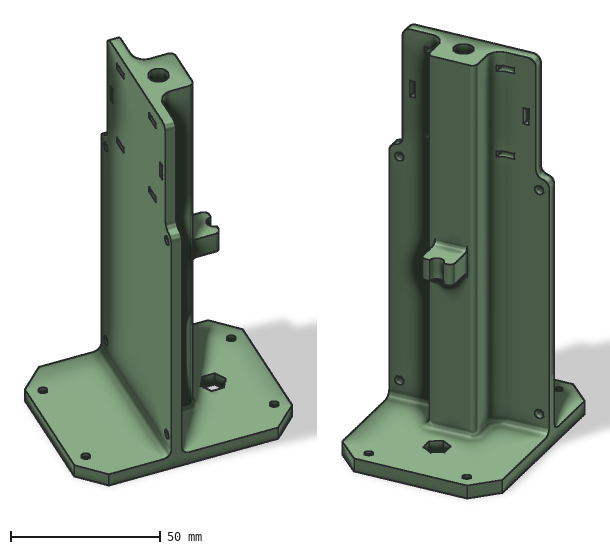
import cadquery as cq
import math

BASE_X = 60.0
BASE_Y = 79.2
BASE_T = 5.0
BASE_CHAMFER = 8.8
BASE_HOLE_D = 3.1
BASE_HOLE_X = 18.4
BASE_HOLE_Y = 34.3

HEIGHT = 147.0
PLATE_FRONT_Y = -8.1
PLATE_T = 3.8
PLATE_BACK_Y = PLATE_FRONT_Y + PLATE_T
UPPER_WIDTH = 50.0
SHOULDER_MID_Z = 101.9
CORNER_R = 3.1
FOOT_FILLET = 3.0

PLATE_HOLE_D = 3.2
PLATE_HOLE_X = 26.2
PLATE_HOLE_LOW_Z = 12.0
PLATE_HOLE_HIGH_Z = 97.5

SLOT_LENGTH = 6.0
SLOT_WIDTH = 2.0
SLOT_CENTRE_Z = 124.4
FLAT_SLOT_X = 13.8
FLAT_SLOT_OFFSET_Z = 16.3
TALL_SLOT_X = 21.3

COLUMN_WIDTH = 18.1
COLUMN_BACK_Y = 9.3
COLUMN_CORNER_R = 2.0
COLUMN_ROOT_R = 5.0
BORE_D = 6.9

TAB_WIDTH = 12.0
TAB_END_Y = 20.1
TAB_T = 8.0
TAB_MID_Z = 71.7
TAB_CORNER_R = 2.0
TAB_FILLET = 1.9
NOTCH_D = 5.0
HEX_ACROSS_FLATS = 8.0
HEX_CENTRE_Y = 19.8


def make_base():
    base = cq.Workplane("XY").box(BASE_X, BASE_Y, BASE_T, centered=(True, True, False))
    return base.edges("|Z").chamfer(BASE_CHAMFER)


def make_plate():
    """Stepped plate; each shoulder is two equal tangent arcs forming an S."""
    half_low = BASE_X / 2
    half_high = UPPER_WIDTH / 2
    step = half_low - half_high
    sweep = math.acos(1 - step / (2 * CORNER_R))
    rise = CORNER_R * math.sin(sweep)
    bulge_x = CORNER_R * (1 - math.cos(sweep / 2))
    bulge_z = rise - CORNER_R * math.sin(sweep / 2)
    mid_x = (half_low + half_high) / 2

    half_outline = (
        cq.Workplane("XZ", origin=(0, PLATE_BACK_Y, 0))
        .lineTo(half_low, 0)
        .lineTo(half_low, SHOULDER_MID_Z - rise)
        .threePointArc((half_low - bulge_x, SHOULDER_MID_Z - bulge_z), (mid_x, SHOULDER_MID_Z))
        .threePointArc((half_high + bulge_x, SHOULDER_MID_Z + bulge_z), (half_high, SHOULDER_MID_Z + rise))
        .lineTo(half_high, HEIGHT - CORNER_R)
        .radiusArc((half_high - CORNER_R, HEIGHT), -CORNER_R)
        .lineTo(0, HEIGHT)
        .close()
    )
    half_plate = half_outline.extrude(PLATE_T)
    return half_plate.union(half_plate.mirror("YZ"))


def make_column():
    """Column whose sides flare into the upright plate at the root."""
    half_width = COLUMN_WIDTH / 2
    root_x = half_width + COLUMN_ROOT_R
    root_y = PLATE_BACK_Y + COLUMN_ROOT_R
    corner_x = half_width - COLUMN_CORNER_R
    corner_y = COLUMN_BACK_Y - COLUMN_CORNER_R
    return (
        cq.Workplane("XY")
        .moveTo(-root_x, PLATE_FRONT_Y)
        .lineTo(root_x, PLATE_FRONT_Y)
        .lineTo(root_x, PLATE_BACK_Y)
        .radiusArc((half_width, root_y), COLUMN_ROOT_R)
        .lineTo(half_width, corner_y)
        .radiusArc((corner_x, COLUMN_BACK_Y), -COLUMN_CORNER_R)
        .lineTo(-corner_x, COLUMN_BACK_Y)
        .radiusArc((-half_width, corner_y), -COLUMN_CORNER_R)
        .lineTo(-half_width, root_y)
        .radiusArc((-root_x, PLATE_BACK_Y), COLUMN_ROOT_R)
        .close()
        .extrude(HEIGHT)
    )


def make_tab():
    """Tab that starts inside the column and is rounded at its free corners."""
    tab = cq.Workplane("XY").box(TAB_WIDTH, TAB_END_Y, TAB_T)
    tab = tab.edges("|Z and >Y").fillet(TAB_CORNER_R)
    return tab.translate((0, TAB_END_Y / 2, TAB_MID_Z))


def edges_near(y_min, y_max, z_min, z_max):
    """Selector for edges centred within the given Y and Z limits."""
    return cq.selectors.BoxSelector((-BASE_X, y_min, z_min), (BASE_X, y_max, z_max))


def make_drill(x, y, diameter, top_z):
    """Vertical drill from Z = 0 up to top_z."""
    return cq.Workplane("XY").center(x, y).circle(diameter / 2).extrude(top_z)


def make_hex_hole():
    """Hexagonal prism through the base, with two flats facing along X."""
    across_corners = HEX_ACROSS_FLATS / math.cos(math.radians(30))
    hexagon = cq.Workplane("XY").polygon(6, across_corners).extrude(BASE_T)
    return hexagon.rotate((0, 0, 0), (0, 0, 1), 30).translate((0, HEX_CENTRE_Y, 0))


def make_cross_cutter(outline):
    """Cutter along Y that passes right through the upright."""
    return outline.extrude(BASE_Y, both=True)


TOL = 0.1

body = make_base().union(make_plate()).union(make_column())
foot_edges = edges_near(PLATE_FRONT_Y - TOL, COLUMN_BACK_Y + TOL, BASE_T - TOL, BASE_T + TOL)
body = body.edges(foot_edges).fillet(FOOT_FILLET)

body = body.union(make_tab())
tab_reach = TAB_T / 2 + TOL
tab_root = edges_near(COLUMN_BACK_Y - TOL, COLUMN_BACK_Y + TOL, TAB_MID_Z - tab_reach, TAB_MID_Z + tab_reach)
body = body.edges("|X").edges(tab_root).fillet(TAB_FILLET)

body = body.cut(make_drill(0, 0, BORE_D, HEIGHT))
body = body.cut(make_hex_hole())
body = body.cut(make_drill(0, TAB_END_Y, NOTCH_D, HEIGHT))

for side in (-1, 1):
    for end in (-1, 1):
        body = body.cut(make_drill(side * BASE_HOLE_X, end * BASE_HOLE_Y, BASE_HOLE_D, BASE_T))

    for z in (PLATE_HOLE_LOW_Z, PLATE_HOLE_HIGH_Z):
        hole = cq.Workplane("XZ").center(side * PLATE_HOLE_X, z).circle(PLATE_HOLE_D / 2)
        body = body.cut(make_cross_cutter(hole))

    for end in (-1, 1):
        slot = cq.Workplane("XZ").center(side * FLAT_SLOT_X, SLOT_CENTRE_Z + end * FLAT_SLOT_OFFSET_Z)
        body = body.cut(make_cross_cutter(slot.rect(SLOT_LENGTH, SLOT_WIDTH)))

    slot = cq.Workplane("XZ").center(side * TALL_SLOT_X, SLOT_CENTRE_Z)
    body = body.cut(make_cross_cutter(slot.rect(SLOT_WIDTH, SLOT_LENGTH)))

result = body